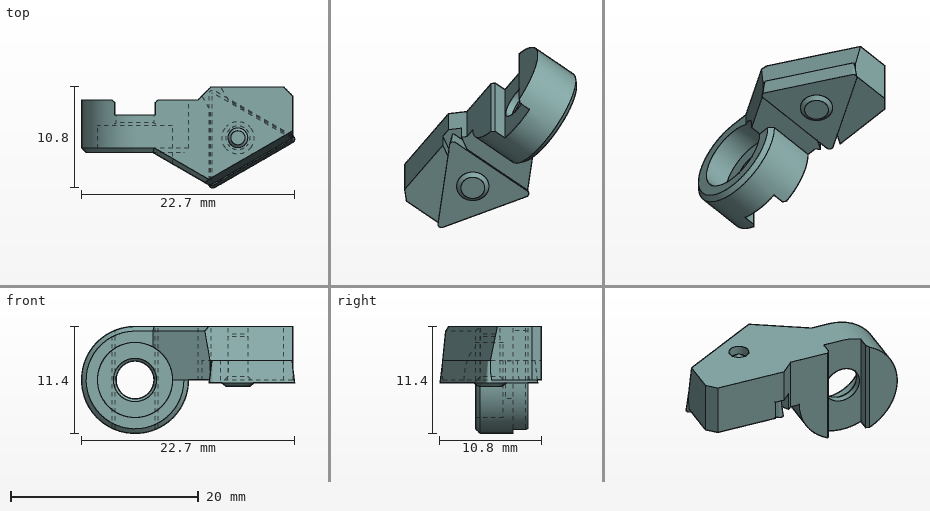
import cadquery as cq
import math


eye_radius = 5.7
eye_length = 5.6
front_chamfer = 0.5
counterbore_radius = 4.0
counterbore_depth = 2.9
bore_radius = 2.0
bore_chamfer = 0.3

overrun = 1.0
cutter_size = 40.0
edge_box = 0.01

slot_half_width = 2.15
slot_depth = 1.6
slot_corner_chamfer = 0.3

arm_top = eye_radius
arm_bottom = 0.0
edge_angle = 30.0
bend_x = 1.9
head_back = 7.0
head_shoulder_x = 6.7
head_end = 16.8
head_end_chamfer = 1.0
flank_tilt = 10.0
flank_distance_at_top = 6.39

insert_inner_radius = 3.175
insert_corner_radius = 0.4
insert_clearance_angle = 7.0
insert_thickness = 2.38
insert_x = 11.05
insert_y = 1.42
insert_top = 2.06
insert_bottom = insert_top - insert_thickness

pocket_inner_radius = 3.03
relief_width = 2.2

screw_x = 10.95
screw_y = 1.57
screw_head_radius = 1.72
screw_head_face_radius = 1.27
screw_head_rise = 0.36
screw_head_cone_height = 0.7
shank_radius = 1.05
shank_chamfer = 0.3
tip_recess = 0.8
shank_tip = arm_top - tip_recess

edge_slope = math.tan(math.radians(edge_angle))
flank_normal = cq.Vector(math.sin(math.radians(edge_angle)), -math.cos(math.radians(edge_angle)), 0)


def y_cylinder(radius, y_start, length):
    """Cylinder around the eye's axis, from y_start toward +Y."""
    return cq.Workplane(cq.Solid.makeCylinder(radius, length, cq.Vector(0, y_start, 0), cq.Vector(0, 1, 0)))


def make_arm():
    """Arm and head, chamfered along the top front edge, with the tilted flank cut off."""
    height = arm_top - arm_bottom
    reach = head_end - bend_x
    shoulder_end_x = head_shoulder_x + head_back - eye_length
    outline = [
        (0, 0),
        (bend_x, 0),
        (head_end, -reach * edge_slope),
        (head_end, head_back - head_end_chamfer),
        (head_end - head_end_chamfer, head_back),
        (shoulder_end_x, head_back),
        (head_shoulder_x, eye_length),
        (0, eye_length),
    ]
    arm = cq.Workplane("XY").workplane(offset=arm_bottom).polyline(outline).close().extrude(height)
    front_box = cq.selectors.BoxSelector(
        (0, -reach, arm_top - edge_box),
        (head_end - edge_box, edge_box, arm_top + edge_box),
    )
    top_front_edges = arm.faces(">Z").edges(front_box)
    arm = top_front_edges.chamfer(front_chamfer)
    return arm.cut(flank_cutter())


def flank_cutter():
    """Block beyond the head's flank, whose face leans outward toward the bottom."""
    tilt = math.radians(flank_tilt)
    normal = flank_normal * math.cos(tilt) + cq.Vector(0, 0, math.sin(tilt))
    along_flank = cq.Vector(-flank_normal.y, flank_normal.x, 0)
    origin = flank_normal * flank_distance_at_top + cq.Vector(0, 0, arm_top)
    plane = cq.Plane(origin=origin, xDir=along_flank, normal=normal)
    return cq.Workplane(plane).rect(cutter_size, cutter_size).extrude(cutter_size)


def make_eye():
    """Ring with a chamfered front edge."""
    return y_cylinder(eye_radius, 0, eye_length).faces("<Y").edges().chamfer(front_chamfer)


def back_slot():
    """Slot through the full height of the eye's back, with chamfered mouth corners."""
    floor_y = eye_length - slot_depth
    mouth = slot_half_width + slot_corner_chamfer
    half_outline = [
        (slot_half_width, floor_y),
        (slot_half_width, eye_length - slot_corner_chamfer),
        (mouth, eye_length),
    ]
    mirrored = [(-x, y) for x, y in reversed(half_outline)]
    outline = half_outline + mirrored
    return cq.Workplane("XY").polyline(outline).close().extrude(eye_radius, both=True)


def bore():
    """Counterbore from in front of the arm, and the bore with its chamfered edge."""
    front = -head_end
    recess = y_cylinder(counterbore_radius, front, counterbore_depth - front)
    hole = y_cylinder(bore_radius, 0, eye_length)
    chamfer = cq.Workplane(cq.Solid.makeCone(
        bore_radius + bore_chamfer, bore_radius, bore_chamfer,
        cq.Vector(0, counterbore_depth, 0), cq.Vector(0, 1, 0)))
    return recess.union(hole).union(chamfer)


def rounded_triangle(inner_radius, corner_radius, z):
    """Wire of an equilateral triangle with rounded corners and one corner pointing to +X."""
    outer_diameter = 4 * inner_radius
    triangle = cq.Workplane("XY", origin=(insert_x, insert_y, z)).polygon(3, outer_diameter).extrude(overrun)
    return triangle.edges("|Z").fillet(corner_radius).faces("<Z").wires().val()


def insert_blank():
    """Rounded triangle that narrows upward from its bottom cutting edges, with the corners as cones."""
    inset = insert_thickness * math.tan(math.radians(insert_clearance_angle))
    bottom = rounded_triangle(insert_inner_radius, insert_corner_radius, insert_bottom)
    top = rounded_triangle(insert_inner_radius - inset, insert_corner_radius - inset, insert_top)
    return cq.Workplane(cq.Solid.makeLoft([bottom, top], True))


def insert_pocket():
    """Triangular recess under the head, open to the front, with upright side and rear walls."""
    side_wall_x = insert_x - pocket_inner_radius
    front_y = insert_y - cutter_size
    end_x = head_end + overrun

    def rear_wall_y(x):
        return insert_y + (insert_x + 2 * pocket_inner_radius - x) * edge_slope

    outline = [
        (side_wall_x, front_y),
        (end_x, front_y),
        (end_x, rear_wall_y(end_x)),
        (side_wall_x, rear_wall_y(side_wall_x)),
    ]
    return cq.Workplane("XY").polyline(outline).close().extrude(insert_top)


def corner_relief():
    """Slot along the pocket's back corner bisector, running out through the back of the head."""
    slot = cq.Workplane("XY").rect(relief_width, head_end).extrude(insert_top).translate((0, head_end / 2, 0))
    return slot.rotate((0, 0, 0), (0, 0, 1), edge_angle).translate((insert_x, insert_y, 0))


def make_screw():
    """Countersunk screw with its head down and a chamfered tip inside the head's through hole."""
    profile = [
        (0, insert_bottom - screw_head_rise),
        (screw_head_face_radius, insert_bottom - screw_head_rise),
        (screw_head_radius, insert_bottom),
        (shank_radius, insert_bottom + screw_head_cone_height),
        (shank_radius, shank_tip - shank_chamfer),
        (shank_radius - shank_chamfer, shank_tip),
        (0, shank_tip),
    ]
    screw = cq.Workplane("XZ").polyline(profile).close().revolve(360, (0, 0), (0, 1))
    return screw.translate((screw_x, screw_y, 0))


def make_insert(screw):
    """Insert with a countersunk hole that fits the screw."""
    return insert_blank().cut(screw)


def make_holder():
    """Eye and arm with bore, slot, screw hole and insert pocket."""
    body = make_eye().union(make_arm()).cut(bore()).cut(back_slot())
    screw_hole = cq.Workplane("XY", origin=(screw_x, screw_y, 0)).circle(shank_radius).extrude(arm_top)
    return body.cut(screw_hole).cut(insert_pocket()).cut(corner_relief()).cut(insert_blank())


screw = make_screw()
insert = make_insert(screw)
holder = make_holder()
result = cq.Compound.makeCompound([holder.val(), insert.val(), screw.val()])